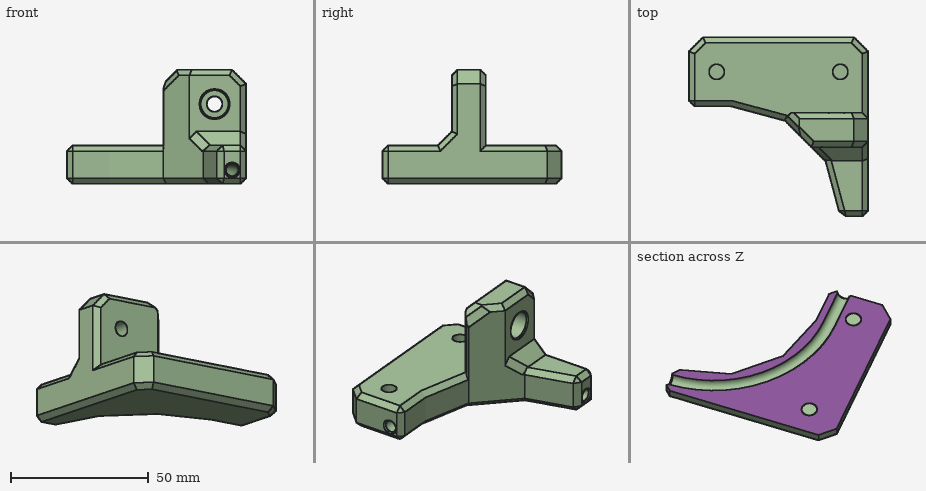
import cadquery as cq
import math

SIDE = 65.0
HEIGHT = 41.5
BASE_HEIGHT = 14.05

CHAMFER = 2.1
CORNER = 5.15

ARM_WIDTH = 25.1
ARM_STRAIGHT = 15.3
ELBOW_X = 35.0
DIAGONAL_X = 49.5
TAPER = math.tan(math.radians(15))

PLATE_FRONT = 25.15
PLATE_BACK = 37.6
GUSSET = 5.0

BOLT_DIAMETER = 5.5
BOLT_INSET = 10.1
BOLT_BACK_INSET = 12.55
BOLT_DEPTH = 9.0
EYE_X = 53.55
EYE_Z = 29.0
COUNTERBORE_DIAMETER = 10.0
COUNTERBORE_MOUTH = 11.0
COUNTERBORE_DEPTH = 6.0

CHANNEL_DIAMETER = 4.4
CHANNEL_MOUTH = 5.5
CHANNEL_TOE_INSET = 5.1
CHANNEL_ARM_INSET = 20.0
CHANNEL_HEIGHT = 5.1

ARM_FRONT = SIDE - ARM_WIDTH
ELBOW_Y = ARM_FRONT - (ELBOW_X - ARM_STRAIGHT) * TAPER
DIAGONAL_Y = ELBOW_Y - (DIAGONAL_X - ELBOW_X)
TOE_X = DIAGONAL_X + DIAGONAL_Y * TAPER

DIAGONAL = cq.selectors.ParallelDirSelector(cq.Vector(-1, -1, 0))
SLOPE = cq.selectors.ParallelDirSelector(cq.Vector(0, -1, 1))


def make_base():
    """L-shaped base with a tapered toe and bevelled edges."""
    toe_corner = (TOE_X, 0)
    arm_corner = (0, ARM_FRONT)
    right_corner = (SIDE, 0)
    plan = [
        (CORNER, SIDE),
        (0, SIDE - CORNER),
        arm_corner,
        (ARM_STRAIGHT, ARM_FRONT),
        (ELBOW_X, ELBOW_Y),
        (DIAGONAL_X, DIAGONAL_Y),
        toe_corner,
        right_corner,
        (SIDE, SIDE - CORNER),
        (SIDE - CORNER, SIDE),
    ]
    base = cq.Workplane("XY").polyline(plan).close().extrude(BASE_HEIGHT)
    bevels = base.faces("<Z or >Z").edges()
    for x, y in (arm_corner, toe_corner, right_corner):
        bevels = bevels.add(base.edges(cq.selectors.NearestToPointSelector((x, y, BASE_HEIGHT / 2))))
    return bevels.chamfer(CHAMFER)


def crop_to_diagonal(body):
    """Remove whatever lies in front of the diagonal face."""
    reach = ELBOW_X + ELBOW_Y
    cutter = cq.Workplane("XY").polyline([(0, 0), (reach, 0), (0, reach)]).close().extrude(HEIGHT)
    return body.cut(cutter)


def extrude_forward(outline, back_y, depth):
    """Extrude a front outline of (x, z) points from back_y toward the front."""
    back = cq.Workplane("XZ", origin=(0, back_y, 0)).polyline(outline).close()
    return back.extrude(depth)


def make_plate():
    """Upright plate with cut top corners, cropped by the diagonal face and bevelled."""
    right_outline = [
        (SIDE - CORNER, HEIGHT),
        (SIDE, HEIGHT - CORNER),
        (SIDE, CHAMFER),
        (ELBOW_X, CHAMFER),
    ]
    square = [*right_outline, (ELBOW_X, HEIGHT)]
    plate = extrude_forward(square, PLATE_BACK, PLATE_BACK - PLATE_FRONT)
    plate = plate.faces("<Y or >Y").edges("not <Z").chamfer(CHAMFER)

    cut_corner = [*right_outline, (ELBOW_X, HEIGHT - CORNER), (ELBOW_X + CORNER, HEIGHT)]
    deep = crop_to_diagonal(extrude_forward(cut_corner, SIDE, SIDE))
    deep = deep.faces(DIAGONAL).edges("not (|Z or <Z)").chamfer(CHAMFER)
    return plate.intersect(deep)


def make_gusset():
    """45 degree fill between the plate and the toe, bevelled along both sides of its slope."""
    overlap = CHAMFER + 0.65
    back_y = PLATE_FRONT + overlap
    back_z = BASE_HEIGHT + GUSSET + overlap
    front_y = PLATE_FRONT - GUSSET - overlap
    front_z = BASE_HEIGHT - overlap
    side = [(front_y, CHAMFER), (front_y, front_z), (back_y, back_z), (back_y, CHAMFER)]
    gusset = cq.Workplane("YZ", origin=(ELBOW_X, 0, 0)).polyline(side).close()
    gusset = crop_to_diagonal(gusset.extrude(SIDE - ELBOW_X))
    return gusset.faces(SLOPE).edges("not |X").chamfer(CHAMFER)


def round_cutter(start, direction, diameter, depth):
    """Cylinder that starts on a face and runs into the part."""
    return cq.Solid.makeCylinder(diameter / 2, depth, cq.Vector(*start), cq.Vector(*direction))


def countersink_cutter(start, direction, diameter, mouth):
    """45 degree cone that narrows from the mouth to the bore diameter."""
    flare = (mouth - diameter) / 2
    return cq.Solid.makeCone(mouth / 2, diameter / 2, flare, cq.Vector(*start), cq.Vector(*direction))


def cut_bolt_holes(body):
    """Two blind vertical holes near the back of the base."""
    for x in (BOLT_INSET, SIDE - BOLT_INSET):
        start = (x, SIDE - BOLT_BACK_INSET, BASE_HEIGHT)
        body = body.cut(round_cutter(start, (0, 0, -1), BOLT_DIAMETER, BOLT_DEPTH))
    return body


def cut_eye(body):
    """Through hole in the plate with a counterbore and a countersunk mouth."""
    eye = (EYE_X, PLATE_FRONT, EYE_Z)
    inward = (0, 1, 0)
    body = body.cut(round_cutter(eye, inward, BOLT_DIAMETER, PLATE_BACK - PLATE_FRONT))
    body = body.cut(round_cutter(eye, inward, COUNTERBORE_DIAMETER, COUNTERBORE_DEPTH))
    return body.cut(countersink_cutter(eye, inward, COUNTERBORE_DIAMETER, COUNTERBORE_MOUTH))


def cut_channel(body):
    """Curved channel from the toe end to the arm end, countersunk at both mouths."""
    toe_x = SIDE - CHANNEL_TOE_INSET
    radius = SIDE - CHANNEL_ARM_INSET
    bend_x = toe_x - radius
    diagonal = radius * math.sqrt(0.5)
    path = (
        cq.Workplane("XY", origin=(0, 0, CHANNEL_HEIGHT))
        .moveTo(toe_x, 0)
        .threePointArc((bend_x + diagonal, diagonal), (bend_x, radius))
        .lineTo(0, radius)
    )
    toe_mouth = (toe_x, 0, CHANNEL_HEIGHT)
    arm_mouth = (0, radius, CHANNEL_HEIGHT)
    section = cq.Workplane("XZ", origin=toe_mouth).circle(CHANNEL_DIAMETER / 2)
    body = body.cut(section.sweep(path))
    for mouth, direction in ((toe_mouth, (0, 1, 0)), (arm_mouth, (1, 0, 0))):
        body = body.cut(countersink_cutter(mouth, direction, CHANNEL_DIAMETER, CHANNEL_MOUTH))
    return body


result = make_base().union(make_plate()).union(make_gusset())
result = cut_bolt_holes(result)
result = cut_eye(result)
result = cut_channel(result)